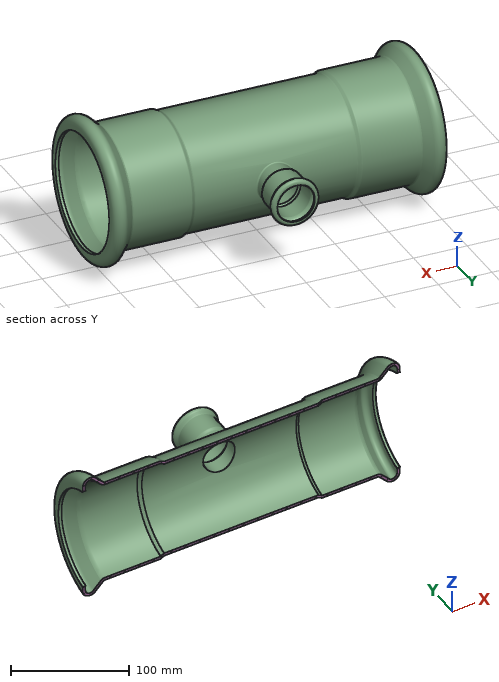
import cadquery as cq
import math

length = 312.0
bead_diameter = 133.0
width = 160.5

pipe_diameter = 108.0
socket_diameter = 112.0
bead_round = 7.5
socket_depth = 76.8
neck_start = 80.2
wall = 3.0
blend = 2.2

branch_reach = width - bead_diameter / 2
branch_diameter = 35.0
branch_socket_diameter = 38.0
branch_bead_diameter = 44.3
branch_bead_round = 3.5
branch_socket_depth = 28.0
branch_neck_start = 30.0
branch_wall = 2.0
branch_blend = 1.2
branch_foot_fillet = 1.2

flare_angle = math.radians(45)


def bead_and_flare(sketch, offset, bead_d, bead_r, socket_d):
    """Draw the bead arc and the flare down to the socket, offset inward; return the sketch and flare end."""
    arc_radius = bead_r - offset
    centre_radius = bead_d / 2 - bead_r
    socket_radius = socket_d / 2 - offset
    arc_end_angle = math.pi / 2 + flare_angle

    def on_arc(angle):
        return (bead_r - arc_radius * math.cos(angle), centre_radius + arc_radius * math.sin(angle))

    arc_end = on_arc(arc_end_angle)
    flare_end = arc_end[0] + (arc_end[1] - socket_radius) / math.tan(flare_angle)
    sketch = (
        sketch.lineTo(*on_arc(0))
        .threePointArc(on_arc(arc_end_angle / 2), arc_end)
        .lineTo(flare_end, socket_radius)
    )
    return sketch, flare_end


def revolve_and_blend(sketch, total, corner_places, fillet_radius):
    """Close the half profile on the X axis, revolve it and round its circular edges at the given places."""
    solid = sketch.lineTo(total, 0).close().revolve(360, (0, 0, 0), (1, 0, 0))

    def is_corner(edge):
        return edge.geomType() == "CIRCLE" and any(
            math.isclose(edge.Center().x, place, abs_tol=0.003) for place in corner_places
        )

    corners = [edge for edge in solid.edges().vals() if is_corner(edge)]
    return solid.newObject(corners).fillet(fillet_radius)


def socket_body(bead_d, bead_r, socket_d, depth, neck, pipe_d, fillet_radius, total):
    """Solid along +X: rounded bead, flare, socket, taper and pipe."""
    sketch, flare_end = bead_and_flare(cq.Workplane("XY"), 0, bead_d, bead_r, socket_d)
    sketch = sketch.lineTo(depth, socket_d / 2).lineTo(neck, pipe_d / 2).lineTo(total, pipe_d / 2)
    return revolve_and_blend(sketch, total, (flare_end, depth, neck), fillet_radius)


def socket_bore(bead_d, bead_r, socket_d, depth, neck, pipe_d, fillet_radius, total, thickness):
    """Cavity along +X: the body's shape less the wall, with a lip opening as wide as the pipe."""
    sketch = cq.Workplane("XY").lineTo(0, pipe_d / 2).lineTo(thickness, pipe_d / 2)
    sketch, flare_end = bead_and_flare(sketch, thickness, bead_d, bead_r, socket_d)
    pipe_bore_radius = pipe_d / 2 - thickness
    sketch = (
        sketch.lineTo(depth, socket_d / 2 - thickness)
        .lineTo(neck, pipe_bore_radius)
        .lineTo(total, pipe_bore_radius)
    )
    return revolve_and_blend(sketch, total, (flare_end,), fillet_radius + thickness)


def at_branch(shape):
    """Turn a shape built along +X to run from the branch mouth down to the pipe axis."""
    return shape.rotate((0, 0, 0), (0, 0, 1), -90).translate((0, branch_reach, 0))


def both_ends(shape):
    """Place a shape at the -X end and mirror it to the +X end."""
    end = shape.translate((-length / 2, 0, 0))
    return end.union(end.mirror("YZ")).clean()


run_sizes = (bead_diameter, bead_round, socket_diameter, socket_depth, neck_start,
             pipe_diameter, blend, length / 2)
branch_sizes = (branch_bead_diameter, branch_bead_round, branch_socket_diameter, branch_socket_depth,
                branch_neck_start, branch_diameter, branch_blend, branch_reach)

body = both_ends(socket_body(*run_sizes)).union(at_branch(socket_body(*branch_sizes)))

body = body.edges("not(%CIRCLE or %LINE)").fillet(branch_foot_fillet)

run_bore = both_ends(socket_bore(*run_sizes, wall))
branch_bore = at_branch(socket_bore(*branch_sizes, branch_wall))
result = body.cut(run_bore).cut(branch_bore)